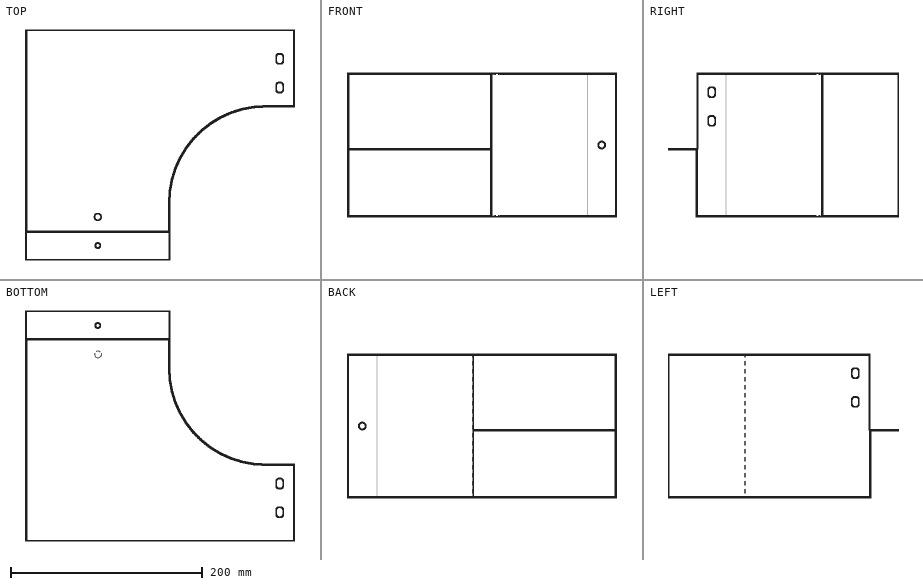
import cadquery as cq

sheet = 1.0
length = 280.0
height = 150.0
front_width = 150.0
end_width = 80.0
opening_height = 79.0
body_depth = 210.0
flange_length = 30.0
bend_radius = 100.0
slot_length = 10.0
slot_width = 7.0
slot_corner_radius = 2.5
slot_pitch = 30.0
first_side_slot_drop = 20.0
edge_offset = flange_length / 2
hole_diameter = 7.0
flange_hole_diameter = 5.0

front_y = flange_length
back_y = front_y + body_depth
end_wall_y = back_y - end_width
flange_top = height - opening_height
branch_center_x = front_width / 2
end_hole_x = length - edge_offset
front_hole_y = front_y + edge_offset


def box(x_size, y_size, z_size, x, y, z):
    """Box with its lowest corner at (x, y, z)."""
    return cq.Workplane("XY").box(x_size, y_size, z_size, centered=False).translate((x, y, z))


def bend_plan(inset):
    """Plan of the bend, with its left and inner curved walls moved inward by inset."""
    radius = bend_radius + inset
    wall_x = front_width - inset
    wall_y = end_wall_y + inset
    center = (front_width + bend_radius, end_wall_y - bend_radius)
    diagonal = radius * 0.5 ** 0.5
    return (
        cq.Workplane("XY")
        .moveTo(inset, front_y)
        .lineTo(wall_x, front_y)
        .lineTo(wall_x, center[1])
        .threePointArc((center[0] - diagonal, center[1] + diagonal), (center[0], wall_y))
        .lineTo(length, wall_y)
        .lineTo(length, back_y)
        .lineTo(inset, back_y)
        .close()
    )


def vertical_hole(diameter, x, y, bottom, depth):
    return cq.Workplane("XY", origin=(x, y, bottom)).circle(diameter / 2).extrude(depth)


def slot(plane, origin, depth, corner_edges):
    """Rounded rectangular cutter, upright in the given plane."""
    blank = cq.Workplane(plane, origin=origin).rect(slot_width, slot_length).extrude(depth)
    return blank.edges(corner_edges).fillet(slot_corner_radius)


body = bend_plan(0).extrude(height)
cavity = bend_plan(sheet).extrude(height - 2 * sheet).translate((0, 0, sheet))
result = body.cut(cavity)

panel_y = front_y - sheet
result = result.union(box(front_width, sheet, flange_top, 0, panel_y, 0))
result = result.union(box(front_width, front_y, sheet, 0, 0, flange_top - sheet))

for index in range(2):
    roof_slot_y = back_y - (index + 1) * slot_pitch
    roof_slot = slot("XY", (end_hole_x, roof_slot_y, 0), height, "|Z")
    side_slot_z = height - first_side_slot_drop - index * slot_pitch
    side_slot = slot("YZ", (0, front_hole_y, side_slot_z), front_width, "|X")
    result = result.cut(roof_slot).cut(side_slot)

roof_hole = vertical_hole(hole_diameter, branch_center_x, front_hole_y, height - sheet, sheet)
flange_hole = vertical_hole(
    flange_hole_diameter, branch_center_x, edge_offset, flange_top - sheet, sheet
)
wall_hole = (
    cq.Workplane("XZ", origin=(end_hole_x, end_wall_y + sheet, height / 2))
    .circle(hole_diameter / 2)
    .extrude(sheet)
)
result = result.cut(roof_hole).cut(flange_hole).cut(wall_hole)